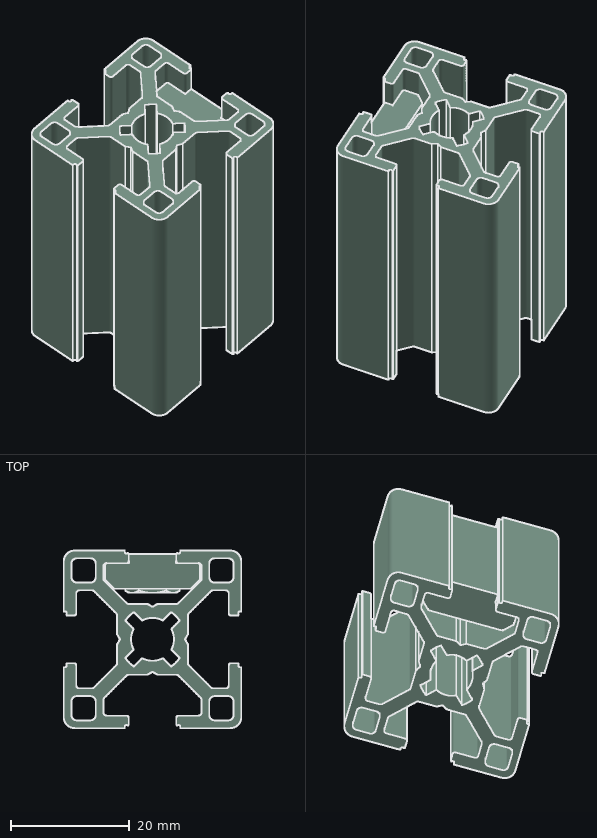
import cadquery as cq
import math

profile_size = 30.0
profile_length = 50.0
profile_corner_radius = 1.9
half_size = profile_size / 2

slot_mouth_half = 4.0
slot_half = 8.25
lip_thickness = 2.15
lip_inner_y = half_size - lip_thickness
slot_floor_y = 6.0
slot_flank_offset = 1.75
lip_fillet = 0.4
slot_corner_fillet = 0.5
slot_flank_fillet = 0.5
slot_flank_top_y = slot_half + slot_flank_offset
slot_floor_half = slot_floor_y - slot_flank_offset

relief_outer_x = 4.68
relief_middle_x = 4.4
relief_wall_y = 14.75
relief_floor_y = 14.47
lip_nose_x = 4.18
lip_nose_y = 14.58
lip_tip_y = 14.45

mark_depth = 0.5
mark_half = mark_depth / math.tan(math.radians(30))

corner_wall = 1.35
hollow_outer = half_size - corner_wall
hollow_inner = slot_half + corner_wall
hollow_size = hollow_outer - hollow_inner
hollow_centre = (hollow_outer + hollow_inner) / 2
hollow_fillet = 0.85

bore_radius = 3.6
keyway_width = 2.0
keyway_radius = 5.55

block_length = 40.0
block_half = 8.05
block_front_y = 14.4
block_back_y = 8.515
block_flank_offset = 2.0
block_corner_fillet = 0.4
nut_across_flats = 8.0
nut_height = 4.0
nut_back_y = 7.85
nut_chamfer_angle = 30.0


def prism(outline, length):
    """Extrude a closed XY outline along Z, centred on Z = 0."""
    return outline.extrude(length / 2, both=True)


def fillet_corners(body, corners, radius):
    """Round the Z-running edges that pass through the given (x, y) corners."""
    for x, y in corners:
        body = body.edges(cq.NearestToPointSelector((x, y, 0))).fillet(radius)
    return body


def slot_cutter():
    """T-slot space of the +Y side."""
    half_outline = (
        cq.Workplane("XY")
        .moveTo(0, half_size)
        .lineTo(relief_outer_x, half_size)
        .lineTo(relief_outer_x, relief_wall_y)
        .threePointArc((relief_middle_x, relief_floor_y), (lip_nose_x, lip_nose_y))
        .lineTo(slot_mouth_half, lip_tip_y)
        .lineTo(slot_mouth_half, lip_inner_y)
        .lineTo(slot_half, lip_inner_y)
        .lineTo(slot_half, slot_flank_top_y)
        .lineTo(slot_floor_half, slot_floor_y)
        .lineTo(mark_half, slot_floor_y)
        .lineTo(0, slot_floor_y - mark_depth)
        .close()
    )
    half_slot = prism(half_outline, profile_length)
    flank_corners = [(slot_half, slot_flank_top_y), (slot_floor_half, slot_floor_y)]
    half_slot = fillet_corners(half_slot, [(slot_mouth_half, lip_inner_y)], lip_fillet)
    half_slot = fillet_corners(half_slot, [(slot_half, lip_inner_y)], slot_corner_fillet)
    half_slot = fillet_corners(half_slot, flank_corners, slot_flank_fillet)
    return half_slot.union(half_slot.mirror("YZ"))


def bore_cutter():
    """Centre bore and its diagonal keyways."""
    bore = prism(cq.Workplane("XY").circle(bore_radius), profile_length)
    keyway_bar = prism(cq.Workplane("XY").rect(profile_size, keyway_width), profile_length)
    keyway_limit = prism(cq.Workplane("XY").circle(keyway_radius), profile_length)
    keyway_pair = keyway_bar.intersect(keyway_limit)
    for angle in (45, 135):
        bore = bore.union(keyway_pair.rotate((0, 0, 0), (0, 0, 1), angle))
    return bore


def corner_hollow_cutter():
    """Rounded square hollow of the +X +Y corner."""
    outline = cq.Workplane("XY").center(hollow_centre, hollow_centre).rect(hollow_size, hollow_size)
    return prism(outline, profile_length).edges("|Z").fillet(hollow_fillet)


def make_profile():
    body = prism(cq.Workplane("XY").rect(profile_size, profile_size), profile_length)
    body = body.edges("|Z").fillet(profile_corner_radius).cut(bore_cutter())
    slot = slot_cutter()
    hollow = corner_hollow_cutter()
    for angle in (0, 90, 180, 270):
        body = body.cut(slot.rotate((0, 0, 0), (0, 0, 1), angle))
        body = body.cut(hollow.rotate((0, 0, 0), (0, 0, 1), angle))
    return body


def hexagon_prism():
    """Hexagon along Y with two flats facing +Z and -Z, before chamfering."""
    across_corners = nut_across_flats / math.cos(math.radians(30))
    return (
        cq.Workplane("XZ", origin=(0, nut_back_y, 0))
        .polygon(6, across_corners)
        .extrude(-nut_height)
    )


def make_nut():
    """Hexagonal nut whose exposed back end has a conical chamfer."""
    flat_radius = nut_across_flats / 2
    outer_radius = nut_across_flats
    chamfer_rise = (outer_radius - flat_radius) * math.tan(math.radians(nut_chamfer_angle))
    nut_front_y = nut_back_y + nut_height
    envelope = (
        cq.Workplane("XY")
        .moveTo(0, nut_back_y)
        .lineTo(flat_radius, nut_back_y)
        .lineTo(outer_radius, nut_back_y + chamfer_rise)
        .lineTo(outer_radius, nut_front_y)
        .lineTo(0, nut_front_y)
        .close()
        .revolve(360, (0, 0, 0), (0, 1, 0))
    )
    return hexagon_prism().intersect(envelope)


def make_block():
    """T-shaped block that fills the slot mouth and bears on the lips."""
    right_side = [
        (slot_mouth_half, block_front_y),
        (slot_mouth_half, lip_inner_y),
        (block_half, lip_inner_y),
        (block_half, block_half + block_flank_offset),
        (block_back_y - block_flank_offset, block_back_y),
    ]
    left_side = [(-x, y) for x, y in reversed(right_side)]
    block = prism(cq.Workplane("XY").polyline(right_side + left_side).close(), block_length)
    shoulders = [(block_half, lip_inner_y), (-block_half, lip_inner_y)]
    block = fillet_corners(block, shoulders, block_corner_fillet)
    return block.cut(hexagon_prism())


profile = make_profile()
block = make_block()
nut = make_nut()

result = cq.Compound.makeCompound([profile.val(), block.val(), nut.val()])